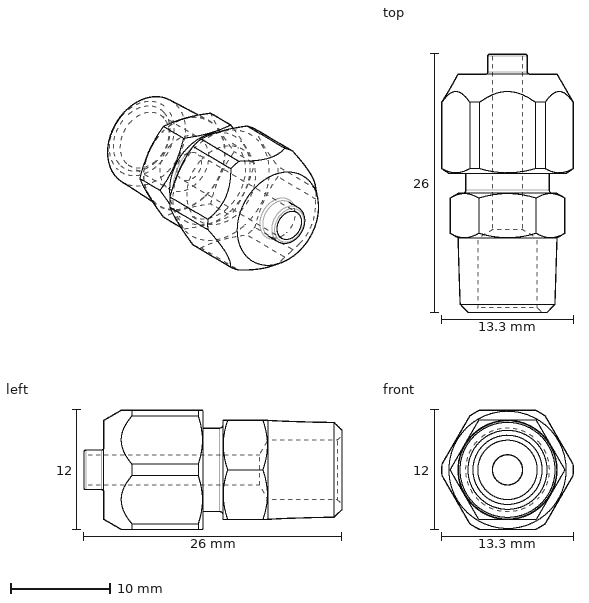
import cadquery as cq
import math

thread_chamfer_end = 0.83
hex_start = 7.5
hex_end = 12.0
nut_start = 14.0
nut_end = 24.0
total_length = 26.0

thread_face_radius = 3.98
thread_front_radius = 4.78
thread_back_radius = 5.0
hex_across_flats = 10.0
hex_face_radius = 4.95
neck_radius = 4.2
neck_fillet = 0.3
nut_across_flats = 12.0
nut_corner_radius = 6.63
nut_front_face_radius = 5.9
nut_front_chamfer_length = 0.5
nut_back_face_radius = 5.0
stub_radius = 2.0
stub_root_fillet = 0.2
stub_edge_fillet = 0.2

bore_radius = 3.0
bore_mouth_chamfer = 0.5
bore_depth = 7.5
passage_radius = 1.5

CHAMFER_SLOPE = math.tan(math.radians(30))


def revolve_profile(points):
    """Revolve a closed (radius, y) outline about the Y axis."""
    return cq.Workplane("XY").polyline(points).close().revolve(360, (0, 0, 0), (0, 1, 0))


def hex_prism(across_flats, start, end):
    """Hexagon along Y with two flats facing up and down and corners on X."""
    across_corners = across_flats / math.cos(math.radians(30))
    plane = cq.Plane(origin=(0, start, 0), xDir=(1, 0, 0), normal=(0, 1, 0))
    return cq.Workplane(plane).polygon(6, across_corners).extrude(end - start)


def make_thread():
    return revolve_profile([
        (0, 0),
        (thread_face_radius, 0),
        (thread_front_radius, thread_chamfer_end),
        (thread_back_radius, hex_start),
        (0, hex_start),
    ])


def make_body_hex():
    corner_radius = hex_across_flats / 2 / math.cos(math.radians(30))
    chamfer_length = (corner_radius - hex_face_radius) * CHAMFER_SLOPE
    envelope = revolve_profile([
        (0, hex_start),
        (hex_face_radius, hex_start),
        (corner_radius, hex_start + chamfer_length),
        (corner_radius, hex_end - chamfer_length),
        (hex_face_radius, hex_end),
        (0, hex_end),
    ])
    return hex_prism(hex_across_flats, hex_start, hex_end).intersect(envelope)


def make_neck():
    """Cylinder joining body and nut, flared by a fillet at the body hexagon."""
    blend = neck_fillet * (1 - math.sqrt(0.5))
    return (
        cq.Workplane("XY")
        .moveTo(0, hex_end)
        .lineTo(neck_radius + neck_fillet, hex_end)
        .threePointArc(
            (neck_radius + blend, hex_end + blend),
            (neck_radius, hex_end + neck_fillet),
        )
        .lineTo(neck_radius, nut_start)
        .lineTo(0, nut_start)
        .close()
        .revolve(360, (0, 0, 0), (0, 1, 0))
    )


def make_nut():
    """Hexagon nut with rounded corners and a long cone at its back."""
    cone_length = (nut_corner_radius - nut_back_face_radius) / CHAMFER_SLOPE
    envelope = revolve_profile([
        (0, nut_start),
        (nut_front_face_radius, nut_start),
        (nut_corner_radius, nut_start + nut_front_chamfer_length),
        (nut_corner_radius, nut_end - cone_length),
        (nut_back_face_radius, nut_end),
        (0, nut_end),
    ])
    return hex_prism(nut_across_flats, nut_start, nut_end).intersect(envelope)


def make_stub():
    """Tube stub with a fillet at the nut and a rounded free edge."""
    blend = stub_root_fillet * (1 - math.sqrt(0.5))
    edge_blend = stub_edge_fillet * (1 - math.sqrt(0.5))
    return (
        cq.Workplane("XY")
        .moveTo(0, nut_end)
        .lineTo(stub_radius + stub_root_fillet, nut_end)
        .threePointArc(
            (stub_radius + blend, nut_end + blend),
            (stub_radius, nut_end + stub_root_fillet),
        )
        .lineTo(stub_radius, total_length - stub_edge_fillet)
        .threePointArc(
            (stub_radius - edge_blend, total_length - edge_blend),
            (stub_radius - stub_edge_fillet, total_length),
        )
        .lineTo(0, total_length)
        .close()
        .revolve(360, (0, 0, 0), (0, 1, 0))
    )


def make_passage():
    """Bore with a chamfered mouth, conical floor and a narrow hole right through."""
    floor_length = (bore_radius - passage_radius) * CHAMFER_SLOPE
    return revolve_profile([
        (0, 0),
        (bore_radius + bore_mouth_chamfer, 0),
        (bore_radius, bore_mouth_chamfer),
        (bore_radius, bore_depth),
        (passage_radius, bore_depth + floor_length),
        (passage_radius, total_length),
        (0, total_length),
    ])


result = (
    make_thread()
    .union(make_body_hex())
    .union(make_neck())
    .union(make_nut())
    .union(make_stub())
    .cut(make_passage())
)